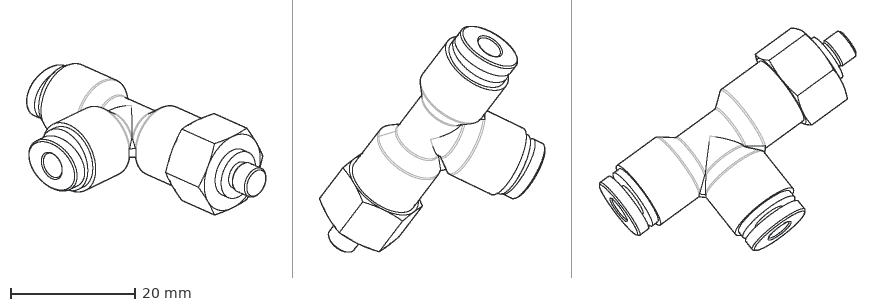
import cadquery as cq
import math


socket_diameter = 11.9
waist_diameter = 8.0
socket_end = 14.5
shoulder_start = 4.05
shoulder_end = 6.55
shoulder_fillet = 0.45
web_thickness = 1.6

ring_diameter = 10.6
ring_length = 1.15

sleeve_diameter = 5.5
tube_bore = 4.18
bore_chamfer = 0.25
head_width = 10.75
head_height = 8.55
head_thickness = 2.05
head_chamfer = 0.3
arm_reach = 18.5

hex_flats = 13.0
hex_length = 8.05
hex_chamfer_angle = 20.0
collar_diameter = 8.0
collar_length = 1.35
relief_diameter = 4.5
relief_length = 0.85
thread_diameter = 5.0
thread_chamfer = 0.3
total_length = 46.4

LEFT, FRONT, RIGHT = 180, -90, 0


def point_along(body, direction):
    """Turn a body built along +X about the Z axis to the given direction."""
    return body.rotate((0, 0, 0), (0, 0, 1), direction)


def disc(start, length, diameter):
    """Round bar on the X axis."""
    return cq.Workplane("YZ", origin=(start, 0, 0)).circle(diameter / 2).extrude(length)


def make_arm():
    """Waist, conical shoulder and socket, with both shoulder edges rounded."""
    waist_radius = waist_diameter / 2
    socket_radius = socket_diameter / 2
    arm = (
        cq.Workplane("XY")
        .moveTo(0, 0)
        .lineTo(0, waist_radius)
        .lineTo(shoulder_start, waist_radius)
        .lineTo(shoulder_end, socket_radius)
        .lineTo(socket_end, socket_radius)
        .lineTo(socket_end, 0)
        .close()
        .revolve(360, (0, 0, 0), (1, 0, 0))
    )
    shoulder_circles = arm.faces("%CONE").edges("%CIRCLE")
    return shoulder_circles.fillet(shoulder_fillet)


def make_web():
    """Flat plate across both inner corners between the branch and the run."""
    shoulder_angle = math.atan2((socket_diameter - waist_diameter) / 2, shoulder_end - shoulder_start)
    fillet_reach = shoulder_fillet * math.tan(shoulder_angle / 2)
    socket_start = shoulder_end + fillet_reach
    edge = socket_diameter / 2
    return (
        cq.Workplane("XY")
        .polyline([
            (-socket_start, 0),
            (-socket_start, -edge),
            (-edge, -socket_start),
            (edge, -socket_start),
            (socket_start, -edge),
            (socket_start, 0),
        ])
        .close()
        .extrude(web_thickness / 2, both=True)
    )


def make_housing():
    housing = make_web()
    for direction in (LEFT, FRONT, RIGHT):
        housing = housing.union(point_along(make_arm(), direction))
    return housing


def make_ring():
    return disc(socket_end, ring_length, ring_diameter).cut(disc(socket_end, ring_length, sleeve_diameter))


def make_button():
    """Sleeve from the housing face to the oval head, bored right through."""
    head_start = arm_reach - head_thickness
    head = (
        cq.Workplane("YZ", origin=(head_start, 0, 0))
        .ellipse(head_width / 2, head_height / 2)
        .extrude(head_thickness)
        .faces(">X")
        .edges()
        .chamfer(head_chamfer)
    )
    sleeve = disc(socket_end, head_start - socket_end, sleeve_diameter)
    button = head.union(sleeve).cut(disc(socket_end, arm_reach - socket_end, tube_bore))
    return button.faces(">X").edges("%CIRCLE").chamfer(bore_chamfer)


def make_hexagon():
    """Hexagon with corners on +Y and -Y, both ends chamfered by a cone tangent to the flats."""
    flat_radius = hex_flats / 2
    corner_diameter = hex_flats / math.cos(math.radians(30))
    hexagon = (
        cq.Workplane("YZ", origin=(socket_end, 0, 0))
        .polygon(6, corner_diameter)
        .extrude(hex_length)
    )
    corner_radius = corner_diameter / 2
    chamfer_depth = (corner_radius - flat_radius) * math.tan(math.radians(hex_chamfer_angle))
    hex_end = socket_end + hex_length
    envelope = (
        cq.Workplane("XY")
        .polyline([
            (socket_end, 0),
            (socket_end, flat_radius),
            (socket_end + chamfer_depth, corner_radius),
            (hex_end - chamfer_depth, corner_radius),
            (hex_end, flat_radius),
            (hex_end, 0),
        ])
        .close()
        .revolve(360, (0, 0, 0), (1, 0, 0))
    )
    return hexagon.intersect(envelope)


def make_stud():
    collar_start = socket_end + hex_length
    relief_start = collar_start + collar_length
    thread_start = relief_start + relief_length
    thread_length = total_length - arm_reach - thread_start
    collar = disc(collar_start, collar_length, collar_diameter)
    relief = disc(relief_start, relief_length, relief_diameter)
    thread = disc(thread_start, thread_length, thread_diameter).edges().chamfer(thread_chamfer)
    return make_hexagon().union(collar).union(relief).union(thread)


housing = make_housing()
stud = make_stud()
rings = [point_along(make_ring(), direction) for direction in (LEFT, FRONT)]
buttons = [point_along(make_button(), direction) for direction in (LEFT, FRONT)]

result = cq.Compound.makeCompound([
    housing.val(),
    stud.val(),
    *[ring.val() for ring in rings],
    *[button.val() for button in buttons],
])